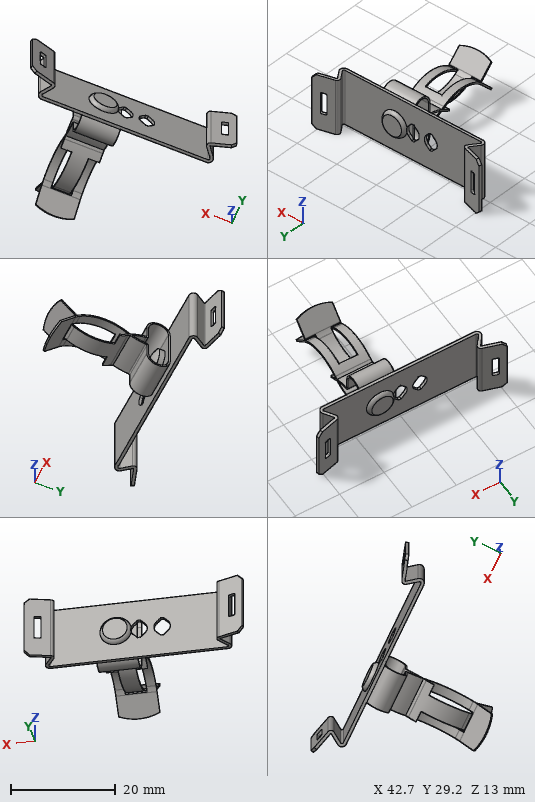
import cadquery as cq
import math


plate_height = 13.0
plate_thickness = 0.65
plate_bend_reach = 17.13
plate_bend_radius = 0.625
knee_radius = 0.4
corner_chamfer = 1.0
slot_width = 1.35
slot_length = 5.0
slot_corner_radius = 0.25

left_end = {"lean": 38.0, "leg": 2.45, "slope": 17.2, "flange": 5.0, "slot": 2.25}
right_end = {"lean": 34.0, "leg": 2.4, "slope": 15.0, "flange": 5.05, "slot": 2.55}

hole_pitch = 4.5
hole_radius = 1.6
hole_half_height = 2.0
rivet_x = hole_pitch

clip_width = 8.0
clip_thickness = 0.4
coil_depth = 4.9
coil_height = 12.75
corner_radius = 0.5
neck_slope = 7.0
bulge_radius = 9.1
bulge_slope = 33.0
bulge_center = 14.0
bulge_offset = 1.87
tip_bend_radius = 6.2
tip_slope = 44.5
tip_reach = 23.56
tip_edge_radius = 10.0
window_width = 4.2
tongue_width = 3.5
window_start = 10.6
window_end = 19.7

shank_radius = hole_radius
head_radius = 2.5
head_rim = 1.15
head_dome = 0.85
tail_radius = 3.05
tail_waist_radius = 2.9
tail_flat_radius = 2.4
tail_height = 0.9

cut_size = 10.0


def straight(length):
    return ("straight", length, 0.0)


def bend(radius, angle):
    """A round bend; a positive angle turns left."""
    return ("bend", radius, angle)


def strip_sketch(plane, start, heading, moves, thickness):
    """Outline of a bent strip that follows a chain of straights and bends.

    Returns the closed sketch, the end point of the mid-line and its heading.
    """
    half = thickness / 2

    def side_points(point, angle):
        turn = math.radians(angle + 90)
        shift = (half * math.cos(turn), half * math.sin(turn))
        left = (point[0] + shift[0], point[1] + shift[1])
        right = (point[0] - shift[0], point[1] - shift[1])
        return left, right

    def step(point, angle, length):
        direction = math.radians(angle)
        return (point[0] + length * math.cos(direction), point[1] + length * math.sin(direction))

    point = start
    ends = [side_points(point, heading)]
    middles = []
    for kind, size, angle in moves:
        middle = None
        if kind == "straight":
            point = step(point, heading, size)
        else:
            to_center = math.copysign(90, angle)
            center = step(point, heading + to_center, size)
            halfway = heading + angle / 2
            middle = side_points(step(center, halfway - to_center, size), halfway)
            heading += angle
            point = step(center, heading - to_center, size)
        middles.append(middle)
        ends.append(side_points(point, heading))

    sketch = cq.Workplane(plane).moveTo(*ends[0][0])
    for middle, end in zip(middles, ends[1:]):
        if middle is None:
            sketch = sketch.lineTo(*end[0])
        else:
            sketch = sketch.threePointArc(middle[0], end[0])
    sketch = sketch.lineTo(*ends[-1][1])
    for middle, end in zip(reversed(middles), reversed(ends[:-1])):
        if middle is None:
            sketch = sketch.lineTo(*end[1])
        else:
            sketch = sketch.threePointArc(middle[1], end[1])
    return sketch.close(), point, heading


def plate_half(end):
    """The half of the plate on +X, with its folded leg and slotted flange."""
    moves = [
        straight(plate_bend_reach),
        bend(plate_bend_radius, 90 + end["lean"]),
        straight(end["leg"]),
        bend(knee_radius, end["slope"] - 90 - end["lean"]),
        straight(end["flange"]),
    ]
    sketch, tip, heading = strip_sketch("XY", (0, plate_thickness / 2), 0, moves, plate_thickness)
    half = sketch.extrude(plate_height / 2, both=True)

    slope = math.radians(heading)
    along = (math.cos(slope), math.sin(slope), 0)
    across = (-math.sin(slope), math.cos(slope), 0)
    flange = cq.Workplane(cq.Plane(origin=(tip[0], tip[1], 0), xDir=along, normal=across))

    slot = (
        flange.center(-end["slot"], 0)
        .rect(slot_width, slot_length)
        .extrude(plate_thickness, both=True)
        .edges(cq.selectors.ParallelDirSelector(cq.Vector(*across)))
        .fillet(slot_corner_radius)
    )
    half = half.cut(slot)
    for side in (-1, 1):
        corner = side * plate_height / 2
        chamfer = (
            flange.moveTo(0, corner)
            .lineTo(-corner_chamfer, corner)
            .lineTo(0, corner - side * corner_chamfer)
            .close()
            .extrude(plate_thickness, both=True)
        )
        half = half.cut(chamfer)
    return half


def pointed_hole(x):
    """Round hole with 45 degree pointed ends, cut flat at top and bottom."""
    tangent = hole_radius / math.sqrt(2)
    flat = 2 * tangent - hole_half_height
    return (
        cq.Workplane("XZ", origin=(x, 0, 0))
        .moveTo(-flat, hole_half_height)
        .lineTo(flat, hole_half_height)
        .lineTo(tangent, tangent)
        .threePointArc((hole_radius, 0), (tangent, -tangent))
        .lineTo(flat, -hole_half_height)
        .lineTo(-flat, -hole_half_height)
        .lineTo(-tangent, -tangent)
        .threePointArc((-hole_radius, 0), (-tangent, tangent))
        .close()
        .extrude(plate_thickness * 2, both=True)
    )


def rivet_hole(depth):
    return cq.Workplane("XZ", origin=(rivet_x, 0, 0)).circle(shank_radius).extrude(depth, both=True)


def make_plate():
    left = plate_half(left_end).mirror("YZ")
    plate = plate_half(right_end).union(left)
    for x in (-hole_pitch, 0):
        plate = plate.cut(pointed_hole(x))
    return plate.cut(rivet_hole(plate_thickness * 2))


def clip_arm():
    """Upper half of the clip: loop, neck, bulge below the axis, tip above it."""
    neck = math.radians(neck_slope)
    bulge = math.radians(bulge_slope)
    tip = math.radians(tip_slope)
    half_thickness = clip_thickness / 2

    coil_radius = coil_depth / 2 - half_thickness
    coil_arc_height = coil_height / 2 - coil_depth / 2

    corner_end = coil_depth - half_thickness + corner_radius * (1 - math.sin(neck))
    bulge_start = bulge_center - bulge_radius * math.sin(bulge)
    bulge_start_height = -bulge_offset + bulge_radius * (1 - math.cos(bulge))
    neck_radius = (bulge_start - corner_end) / (math.sin(bulge) - math.sin(neck))
    neck_drop = neck_radius * (math.cos(neck) - math.cos(bulge))
    wall_bottom = bulge_start_height + neck_drop + corner_radius * math.cos(neck)

    bulge_end = bulge_center + bulge_radius * math.sin(bulge)
    tip_start = bulge_end + tip_bend_radius * (math.sin(tip) - math.sin(bulge))
    tip_length = (tip_reach - half_thickness * math.sin(tip) - tip_start) / math.cos(tip)

    moves = [
        straight(coil_arc_height),
        bend(coil_radius, 180),
        straight(coil_arc_height - wall_bottom),
        bend(corner_radius, neck_slope - 90),
        bend(neck_radius, bulge_slope - neck_slope),
        bend(bulge_radius, -2 * bulge_slope),
        bend(tip_bend_radius, bulge_slope - tip_slope),
        straight(tip_length),
    ]
    sketch, end, heading = strip_sketch("YZ", (-half_thickness, 0), 90, moves, clip_thickness)
    arm = sketch.extrude(clip_width / 2, both=True)

    slope = math.radians(heading)
    across = (0, -math.sin(slope), math.cos(slope))
    tip_plane = cq.Plane(origin=(0, end[0], end[1]), xDir=(1, 0, 0), normal=across)
    tip_sketch = cq.Workplane(tip_plane)
    edge_sag = tip_edge_radius - math.sqrt(tip_edge_radius**2 - (clip_width / 2) ** 2)
    rounding = (
        tip_sketch.moveTo(-clip_width / 2, -edge_sag)
        .threePointArc((0, 0), (clip_width / 2, -edge_sag))
        .lineTo(clip_width / 2, edge_sag)
        .lineTo(-clip_width / 2, edge_sag)
        .close()
        .extrude(clip_thickness, both=True)
    )
    return arm.cut(rounding)


def window_block(width, x=0):
    """Block over the length of the window, tall enough to cut through an arm."""
    length = window_end - window_start
    middle = (window_start + window_end) / 2
    return cq.Workplane("XY").box(width, length, cut_size).translate((x, -middle, 0))


def make_clip():
    arm = clip_arm()
    window_arm = arm.mirror("XY").cut(window_block(window_width))

    tongue_arm = arm
    side_width = (clip_width - tongue_width) / 2
    for side in (-1, 1):
        side_center = side * (tongue_width + side_width) / 2
        tongue_arm = tongue_arm.cut(window_block(side_width, side_center))
    clip = tongue_arm.union(window_arm).translate((rivet_x, 0, 0))
    return clip.cut(rivet_hole(clip_thickness * 2))


def make_rivet():
    """Turned rivet: domed head inside the clip, flattened tail behind the plate."""
    head_base = -clip_thickness
    rim = head_base - head_rim
    head_top = rim - head_dome
    dome_radius = (head_radius**2 + head_dome**2) / (2 * head_dome)
    dome_half_angle = math.asin(head_radius / dome_radius) / 2
    dome_middle = (
        dome_radius * math.sin(dome_half_angle),
        head_top + dome_radius * (1 - math.cos(dome_half_angle)),
    )
    tail_base = plate_thickness
    tail_top = tail_base + tail_height
    tail_bulge = (tail_waist_radius, tail_base + tail_height / 2)
    return (
        cq.Workplane("XY", origin=(rivet_x, 0, 0))
        .moveTo(0, head_top)
        .threePointArc(dome_middle, (head_radius, rim))
        .lineTo(head_radius, head_base)
        .lineTo(shank_radius, head_base)
        .lineTo(shank_radius, tail_base)
        .lineTo(tail_radius, tail_base)
        .threePointArc(tail_bulge, (tail_flat_radius, tail_top))
        .lineTo(0, tail_top)
        .close()
        .revolve(360, (0, 0, 0), (0, 1, 0))
    )


plate = make_plate()
clip = make_clip()
rivet = make_rivet()
result = cq.Compound.makeCompound([*plate.solids().vals(), *clip.solids().vals(), rivet.val()])